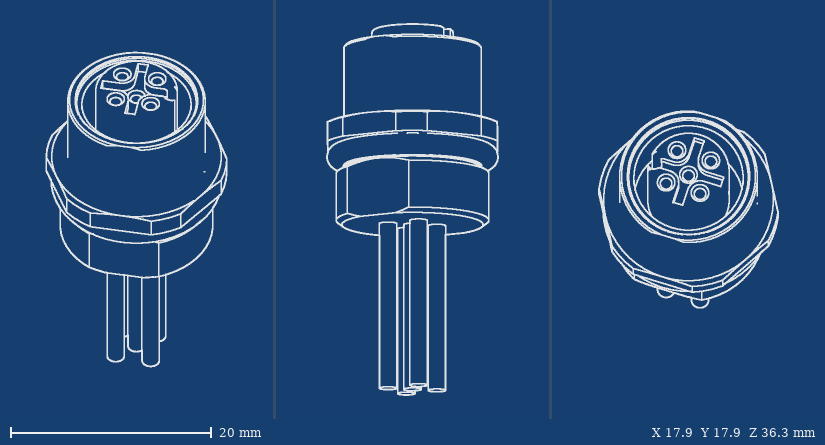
import cadquery as cq
import math

wire_top = 16.65
lower_collar_top = 22.45
flange_bottom = 24.6
flange_top = 26.75
sleeve_top = 34.75
core_top = 36.3

collar_radius = 7.62
collar_flat_distance = 6.75
collar_top_bevel = (0.95, 0.58)
collar_bottom_bevel = (0.58, 0.45)

ring_section_radius = (flange_bottom - lower_collar_top) / 2
ring_outer_radius = 8.53
neck_radius = 6.9

flange_corner_radius = 9.0
flange_flat_distance = 8.45
flange_bevel = (flange_corner_radius - flange_flat_distance, 0.2)
flange_turn = 15.0

sleeve_radius = 6.85
sleeve_flat_distance = 6.65
sleeve_bevel = (0.18, 0.2)
sleeve_foot_fillet = 0.25
edge_margin = 0.05
bore_radius = 5.45
bore_bottom = flange_top
seat_start = 34.12
seat_lip_radius = 5.95
seat_lip_level = 34.35
mouth_radius = 6.1
mouth_bottom = 34.5

core_radius = 4.05
core_fillet = 0.3
cross_slot_length = 7.05
cross_slot_width = 1.0
cross_slot_depth = 1.1
key_radius = 0.75
key_distance = 3.6
key_depth = 7.25

contact_pitch = 2.5
contact_rim_radius = 0.87
contact_hole_radius = 0.58
contact_cone_depth = 0.35
contact_hole_depth = 5.45
wire_radius = 0.87

diagonal_angle = 45.0
contact_points = [(0, 0), (contact_pitch, 0), (0, contact_pitch), (-contact_pitch, 0), (0, -contact_pitch)]


def revolve_profile(points):
    """Turn an (r, z) outline around the Z axis."""
    return cq.Workplane("XZ").polyline(points).close().revolve(360, (0, 0, 0), (0, 1, 0))


def beveled_cylinder(radius, bottom, top, top_bevel, bottom_bevel=(0, 0)):
    """Cylinder with edge bevels, each given as its (radial, axial) size."""
    body = cq.Workplane("XY").workplane(offset=bottom).circle(radius).extrude(top - bottom)
    if any(bottom_bevel):
        body = body.faces("<Z").chamfer(bottom_bevel[1], bottom_bevel[0])
    return body.faces(">Z").chamfer(top_bevel[1], top_bevel[0])


def diagonal_flats(distance, bottom, top):
    """Slab whose two faces form a pair of flats across the -X+Y / +X-Y diagonal."""
    slab = cq.Workplane("XY").box(2 * distance, 4 * distance, top - bottom, centered=(True, True, False))
    return slab.rotate((0, 0, 0), (0, 0, 1), -diagonal_angle).translate((0, 0, bottom))


def make_wires():
    return cq.Workplane("XY").pushPoints(contact_points).circle(wire_radius).extrude(wire_top)


def make_lower_collar():
    collar = beveled_cylinder(
        collar_radius, wire_top, lower_collar_top, collar_top_bevel, collar_bottom_bevel
    )
    return collar.intersect(diagonal_flats(collar_flat_distance, wire_top, lower_collar_top))


def make_seal():
    neck = cq.Workplane("XY").workplane(offset=lower_collar_top).circle(neck_radius)
    neck = neck.extrude(flange_bottom - lower_collar_top)
    ring_height = (lower_collar_top + flange_bottom) / 2
    ring_center_radius = ring_outer_radius - ring_section_radius
    section = cq.Workplane("XZ").moveTo(ring_center_radius, ring_height).circle(ring_section_radius)
    return neck.union(section.revolve(360, (0, 0, 0), (0, 1, 0)))


def make_flange():
    disc = beveled_cylinder(flange_corner_radius, flange_bottom, flange_top, flange_bevel)
    hexagon = (
        cq.Workplane("XY")
        .workplane(offset=flange_bottom)
        .polygon(6, 2 * flange_flat_distance, circumscribed=True)
        .extrude(flange_top - flange_bottom)
        .rotate((0, 0, 0), (0, 0, 1), flange_turn)
    )
    return disc.intersect(hexagon)


def make_sleeve():
    sleeve = beveled_cylinder(sleeve_radius, flange_top, sleeve_top, sleeve_bevel)
    return sleeve.intersect(diagonal_flats(sleeve_flat_distance, flange_top, sleeve_top))


def make_bore():
    return revolve_profile([
        (0, bore_bottom),
        (bore_radius, bore_bottom),
        (bore_radius, seat_start),
        (seat_lip_radius, seat_lip_level),
        (mouth_radius, mouth_bottom),
        (mouth_radius, sleeve_top),
        (0, sleeve_top),
    ])


def make_cross_slot():
    """Diagonal cross whose inner corners curve around the outer contacts."""
    bottom = cq.Workplane("XY").workplane(offset=core_top - cross_slot_depth)
    arm = bottom.rect(cross_slot_length, cross_slot_width).extrude(cross_slot_depth)
    cross = arm.union(arm.rotate((0, 0, 0), (0, 0, 1), 90))
    corner_radius = contact_pitch / math.sqrt(2) - cross_slot_width / 2
    inner = cq.selectors.BoxSelector(
        (-cross_slot_width, -cross_slot_width, 0), (cross_slot_width, cross_slot_width, 2 * core_top)
    )
    cross = cross.edges("|Z").edges(inner).fillet(corner_radius)
    return cross.rotate((0, 0, 0), (0, 0, 1), diagonal_angle)


def make_contact_hole(x, y, top):
    bottom = core_top - contact_hole_depth
    hole = revolve_profile([
        (0, bottom),
        (contact_hole_radius, bottom),
        (contact_hole_radius, top - contact_cone_depth),
        (contact_rim_radius, top),
        (0, top),
    ])
    return hole.translate((x, y, 0))


def make_core():
    key_offset = key_distance / math.sqrt(2)
    key = cq.Workplane("XY").workplane(offset=core_top - key_depth).center(key_offset, key_offset)
    core = cq.Workplane("XY").workplane(offset=bore_bottom).circle(core_radius)
    core = core.extrude(core_top - bore_bottom).cut(key.circle(key_radius).extrude(key_depth))
    core = core.faces(">Z").edges().fillet(core_fillet).cut(make_cross_slot())
    for x, y in contact_points:
        in_slot = (x, y) == (0, 0)
        top = core_top - cross_slot_depth if in_slot else core_top
        core = core.cut(make_contact_hole(x, y, top))
    return core


def make_shell():
    """Flange and sleeve in one, joined by a small concave fillet and bored from above."""
    shell = make_flange().union(make_sleeve())
    reach = sleeve_radius + edge_margin
    foot_edges = cq.selectors.BoxSelector(
        (-reach, -reach, flange_top - edge_margin),
        (reach, reach, flange_top + edge_margin),
        boundingbox=True,
    )
    return shell.edges(foot_edges).fillet(sleeve_foot_fillet).cut(make_bore())


result = make_shell()
for piece in (make_core(), make_seal(), make_lower_collar(), make_wires()):
    result = result.union(piece)